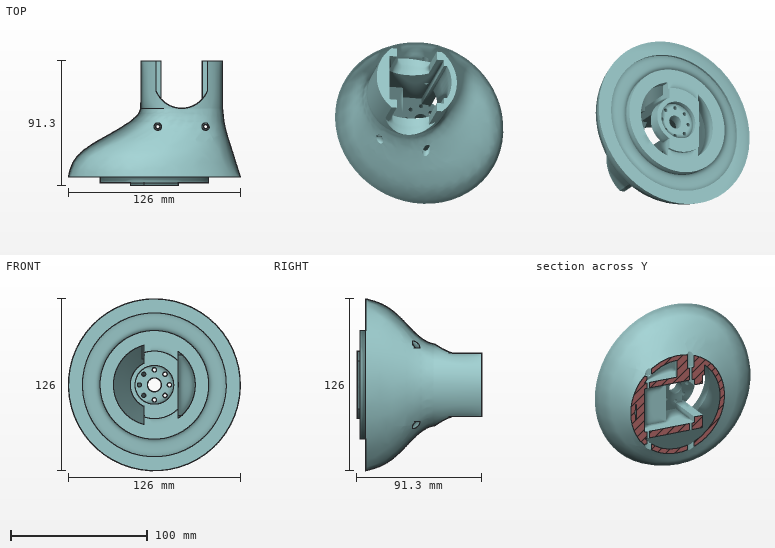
import cadquery as cq
import math


base_length = 50.0
rim_radius = 63.0
post_offset = 20.0
post_radius = 30.0
base_sections = [
    (0.0, 0.0, rim_radius),
    (10.0, -0.1, 59.9),
    (21.0, 3.2, 53.2),
    (33.8, 12.0, 40.5),
    (41.0, 16.9, 34.0),
    (45.5, 19.1, 31.3),
    (base_length, post_offset, post_radius),
]
shell_wall = 4.0

recess_radius = 105.4 / 2
recess_depth = 2.0
boss_radius = 79.6 / 2
boss_height = 4.2
pad_radius = 49.5 / 2
pad_height = 2.1
pad_left = -7.5
pad_right = 17.4
plate_back = 3.6
window_radius = 60.0 / 2
right_window_floor = 7.6

hub_radius = 17.6
hub_recess_radius = 28.4 / 2
hub_recess_depth = 4.7
hub_back = 6.6
shaft_hole_radius = 10.0 / 2
bolt_hole_radius = 3.0 / 2
bolt_circle_radius = 11.0
bolt_count = 8

post_length = 35.0
post_half_height = 23.3
slot_width = 30.0
fork_width = 40.6
fork_floor = 50.4

box_half_width = post_offset - pad_left
box_top = 21.7
box_bottom = -22.6
cavity_height = 34.0
cavity_floor = 25.0
bore_radius = 26.0
bore_height = 25.0
side_opening_right = -5.5
side_opening_end = 36.0

screw_spacing = 35.0
screw_y = 36.9
screw_radius = 3.0 / 2
screw_head_radius = 5.5 / 2
screw_head_seat = 27.0
screw_boss_radius = 11.7
screw_boss_bottom = 18.9

boss_front = -boss_height
pad_front = boss_front - pad_height
post_end = base_length + post_length
reach = 2 * rim_radius


def cylinder_y(radius, y_start, y_end, x=0.0, z=0.0):
    """Round bar along Y between two Y positions."""
    return cq.Workplane(cq.Solid.makeCylinder(
        radius, y_end - y_start, cq.Vector(x, y_start, z), cq.Vector(0, 1, 0)))


def block(x_range, y_range, z_range):
    """Axis-aligned block between the given limits."""
    size = [high - low for low, high in (x_range, y_range, z_range)]
    corner = (x_range[0], y_range[0], z_range[0])
    return cq.Workplane("XY").box(*size, centered=False).translate(corner)


def flared_body(inset):
    """Smooth loft through the base sections, each one smaller by the inset."""
    wires = []
    for y, center_x, radius in base_sections:
        center = cq.Vector(center_x, y, 0)
        wires.append(cq.Wire.makeCircle(radius - inset, center, cq.Vector(0, 1, 0)))
    return cq.Workplane(cq.Solid.makeLoft(wires))


def make_screw_boss():
    """Round boss around the upper screw on the hub side, hanging down inside the shell."""
    screw_x = post_offset - screw_spacing / 2
    return cq.Workplane(cq.Solid.makeCylinder(
        screw_boss_radius, reach, cq.Vector(screw_x, screw_y, screw_boss_bottom)))


def make_base():
    """Hollow flared shell closed by a front plate, with the inner box behind the plate."""
    outer = flared_body(0.0)
    hollow = flared_body(shell_wall).intersect(
        block((-reach, reach), (plate_back, base_length), (-reach, reach)))
    box = block(
        (pad_left, post_offset + box_half_width), (plate_back, base_length), (box_bottom, box_top))
    box = box.union(make_screw_boss())
    ring_recess = cylinder_y(recess_radius, 0.0, recess_depth)
    boss = cylinder_y(boss_radius, boss_front, recess_depth)
    return outer.cut(hollow.cut(box)).cut(ring_recess).union(boss)


def make_windows():
    """Two circular-segment windows: the left one opens the shell, the right one enters the box."""
    left_side = block((-reach, pad_left), (boss_front, plate_back), (-reach, reach))
    right_side = block((pad_right, reach), (boss_front, right_window_floor), (-reach, reach))
    hub = cylinder_y(hub_radius, boss_front, plate_back)
    disc = cylinder_y(window_radius, boss_front, right_window_floor)
    return disc.intersect(left_side.union(right_side)).cut(hub)


def make_pad():
    """Raised pad: a disc trimmed flat on two sides, with the hub rim standing out to the left."""
    disc = cylinder_y(pad_radius, pad_front, boss_front)
    trim = block((pad_left, pad_right), (pad_front, boss_front), (-reach, reach))
    return disc.intersect(trim).union(cylinder_y(hub_radius, pad_front, boss_front))


def make_hub_holes():
    """Hub recess, shaft hole and bolt circle."""
    recess_floor = pad_front + hub_recess_depth
    holes = cylinder_y(hub_recess_radius, pad_front, recess_floor)
    holes = holes.union(cylinder_y(shaft_hole_radius, pad_front, hub_back))
    for index in range(bolt_count):
        angle = 2 * math.pi * index / bolt_count
        x = bolt_circle_radius * math.cos(angle)
        z = bolt_circle_radius * math.sin(angle)
        holes = holes.union(cylinder_y(bolt_hole_radius, pad_front, hub_back, x, z))
    return holes


def make_cavity():
    """Rectangular cavity of the post, widened by a bore on the hub side, open to the hub and the shell."""
    half_width = fork_width / 2
    z_range = (-cavity_height / 2, cavity_height / 2)
    bore_z = (-bore_height / 2, bore_height / 2)
    left = post_offset - half_width
    main = block((left, post_offset + half_width), (cavity_floor, post_end), z_range)
    well = block((left, pad_right), (hub_back, cavity_floor), z_range)
    bore = cylinder_y(bore_radius, hub_back, post_end, post_offset)
    bore = bore.intersect(block((-reach, left), (hub_back, post_end), bore_z))
    opening = block((pad_left, side_opening_right), (plate_back, side_opening_end), bore_z)
    opening = opening.union(block((pad_left, left), (hub_back, side_opening_end), bore_z))
    return main.union(well).union(bore).union(opening)


def round_ended_slot(width, end_radius, z_range):
    """Slot of the given width, open at the post end, whose floor is an arc of the end radius."""
    arc_center = fork_floor + end_radius
    half = width / 2
    straight = block(
        (post_offset - half, post_offset + half), (arc_center, post_end), z_range)
    arc = cq.Workplane(cq.Solid.makeCylinder(
        end_radius, z_range[1] - z_range[0], cq.Vector(post_offset, arc_center, z_range[0])))
    trim = block((post_offset - half, post_offset + half), (fork_floor, post_end), z_range)
    return straight.union(arc.intersect(trim))


def make_fork_cuts():
    """Slot through the post and the wider flats above and below it, all with the same floor arc."""
    end_radius = fork_width / 2
    slot = round_ended_slot(slot_width, end_radius, (-reach, reach))
    upper = round_ended_slot(fork_width, end_radius, (post_half_height, reach))
    lower = round_ended_slot(fork_width, end_radius, (-reach, -post_half_height))
    return slot.union(upper).union(lower)


def make_screw_holes():
    """Counterbored screw holes along Z, entered from above and below."""
    holes = cq.Workplane("XY")
    for side in (-1, 1):
        place = cq.Workplane("XY").center(post_offset + side * screw_spacing / 2, screw_y)
        holes = holes.add(place.circle(screw_radius).extrude(rim_radius, both=True))
        head = place.workplane(offset=screw_head_seat).circle(screw_head_radius).extrude(rim_radius)
        holes = holes.add(head).add(head.mirror("XY"))
    return holes.combine()


post = cylinder_y(post_radius, base_length, post_end, post_offset)
result = make_base().cut(make_windows()).union(make_pad()).union(post)
result = result.cut(make_hub_holes()).cut(make_cavity())
result = result.cut(make_fork_cuts()).cut(make_screw_holes())